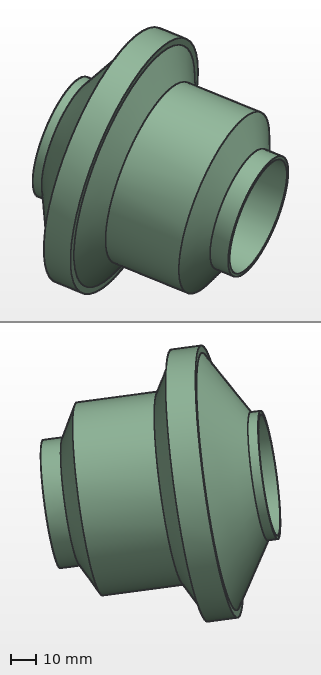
import cadquery as cq

flange_radius = 54.5
cone_radius = 51.6
body_radius = 38.7
neck_radius = 25.7
bore_radius = 24.3

left_neck_length = 4.0
left_cone_length = 16.0
flange_width = 12.0
flange_cone_length = 7.4
body_length = 32.8
right_cone_length = 7.2
right_neck_length = 8.1

left_cone_start = left_neck_length
flange_start = left_cone_start + left_cone_length
flange_end = flange_start + flange_width
body_start = flange_end + flange_cone_length
body_end = body_start + body_length
right_neck_start = body_end + right_cone_length
total_length = right_neck_start + right_neck_length

half_section = [
    (0, bore_radius),
    (0, neck_radius),
    (left_cone_start, neck_radius),
    (flange_start, cone_radius),
    (flange_start, flange_radius),
    (flange_end, flange_radius),
    (flange_end, cone_radius),
    (body_start, body_radius),
    (body_end, body_radius),
    (right_neck_start, neck_radius),
    (total_length, neck_radius),
    (total_length, bore_radius),
]

result = (
    cq.Workplane("XY")
    .polyline(half_section)
    .close()
    .revolve(360, (0, 0, 0), (1, 0, 0))
)